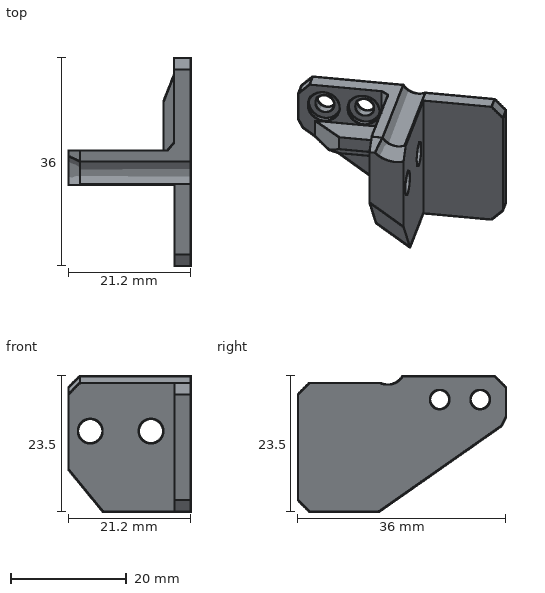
import cadquery as cq
import math

LENGTH = 21.2
HEIGHT = 23.45
WEB_THICKNESS = 6.0
CORNER_CHAMFER = 2.0

LEG_REACH = 14.0
LEG_THICKNESS = 2.85
LEG_HEIGHT = 22.3

PLATE_REACH = 22.0
PLATE_THICKNESS = 2.95
SLOPE = math.tan(math.radians(35))
TIP_CHAMFER = 1.0
GUSSET_X = 1.1
GUSSET_Y = 1.3

GROOVE_RADIUS = 3.0
GROOVE_Y = 1.5
GROOVE_Z = 25.0
LOWER_CHAMFER = 6.0
WEB_HOLE_DIAMETER = 4.2
WEB_HOLE_X = 3.8
WEB_HOLE_PITCH = 10.5
WEB_HOLE_Z = 13.95

PLATE_HOLE_DIAMETER = 3.3
COUNTERBORE_DIAMETER = 5.6
COUNTERBORE_DEPTH = 1.0
PLATE_HOLE_Y = 10.5
PLATE_HOLE_PITCH = 7.0
PLATE_HOLE_Z = 19.4

PAD_RAISE = 1.8
PAD_BOTTOM = 10.45
PAD_TOP = 16.4
PAD_BASE_END = 19.0
PAD_FACE_END = 14.45

PLATE_FACE_X = LENGTH - PLATE_THICKNESS
HOLES_PER_PAIR = 2
OVERCUT = 1.0


def along_x(points, x_start, x_end):
    """Prism of a closed (Y, Z) outline between two X positions."""
    return cq.Workplane("YZ", origin=(x_start, 0, 0)).polyline(points).close().extrude(x_end - x_start)


def front_leg():
    c = CORNER_CHAMFER
    outline = [
        (0, 0),
        (0, LEG_HEIGHT),
        (c - LEG_REACH, LEG_HEIGHT),
        (-LEG_REACH, LEG_HEIGHT - c),
        (-LEG_REACH, c),
        (c - LEG_REACH, 0),
    ]
    return along_x(outline, LENGTH - LEG_THICKNESS, LENGTH)


def rear_plate():
    c = CORNER_CHAMFER
    corner_z = PLATE_REACH * SLOPE
    tip_y = PLATE_REACH - TIP_CHAMFER * math.cos(math.atan(SLOPE))
    outline = [
        (WEB_THICKNESS, WEB_THICKNESS * SLOPE),
        (tip_y, tip_y * SLOPE),
        (PLATE_REACH, corner_z + TIP_CHAMFER),
        (PLATE_REACH, HEIGHT - c),
        (PLATE_REACH - c, HEIGHT),
        (WEB_THICKNESS, HEIGHT),
    ]
    return along_x(outline, PLATE_FACE_X, LENGTH)


def web():
    """Sloped-bottom block with a round groove along its top front edge and a chamfered free end."""
    groove_back_y = GROOVE_Y + math.sqrt(GROOVE_RADIUS**2 - (GROOVE_Z - HEIGHT) ** 2)
    groove_front_y = GROOVE_Y - math.sqrt(GROOVE_RADIUS**2 - (GROOVE_Z - LEG_HEIGHT) ** 2)
    block = (
        cq.Workplane("YZ")
        .moveTo(0, 0)
        .lineTo(WEB_THICKNESS, WEB_THICKNESS * SLOPE)
        .lineTo(WEB_THICKNESS, HEIGHT)
        .lineTo(groove_back_y, HEIGHT)
        .threePointArc((GROOVE_Y, GROOVE_Z - GROOVE_RADIUS), (groove_front_y, LEG_HEIGHT))
        .lineTo(0, LEG_HEIGHT)
        .close()
        .extrude(LENGTH)
    )
    return (
        block
        .cut(end_chamfer(HEIGHT, groove_back_y, WEB_THICKNESS))
        .cut(end_chamfer(LEG_HEIGHT, 0, groove_front_y))
        .cut(groove_chamfer())
        .cut(lower_corner())
    )


def end_chamfer(top_z, y_start, y_end):
    """45 degree wedge at the web's free end, below a flat top at top_z."""
    return (
        cq.Workplane("XZ", origin=(0, y_start, 0))
        .moveTo(0, top_z)
        .lineTo(CORNER_CHAMFER, top_z)
        .lineTo(0, top_z - CORNER_CHAMFER)
        .close()
        .extrude(y_start - y_end)
    )


def groove_chamfer():
    """Cone on the groove's axis that carries the 45 degree chamfer along the groove."""
    cone = cq.Solid.makeCone(
        GROOVE_RADIUS + CORNER_CHAMFER,
        GROOVE_RADIUS,
        CORNER_CHAMFER,
        pnt=cq.Vector(0, GROOVE_Y, GROOVE_Z),
        dir=cq.Vector(1, 0, 0),
    )
    return cq.Workplane(cone)


def lower_corner():
    """Wedge removed from the web's free end, parallel to the sloped underside."""
    rise = LOWER_CHAMFER / math.cos(math.atan(SLOPE))
    margin_x = OVERCUT * LOWER_CHAMFER / rise
    start_y = -OVERCUT
    end_y = WEB_THICKNESS + OVERCUT
    path = cq.Workplane("YZ").moveTo(start_y, start_y * SLOPE).lineTo(end_y, end_y * SLOPE)
    base_z = start_y * SLOPE
    section = [
        (-margin_x, base_z - OVERCUT),
        (LOWER_CHAMFER + margin_x, base_z - OVERCUT),
        (-margin_x, base_z + rise + OVERCUT),
    ]
    return cq.Workplane("XZ", origin=(0, start_y, 0)).polyline(section).close().sweep(path)


def corner_gusset():
    """Flat gusset filling the inside corner between the web and the rear plate."""
    return (
        cq.Workplane("XY")
        .moveTo(PLATE_FACE_X - GUSSET_X, WEB_THICKNESS)
        .lineTo(PLATE_FACE_X, WEB_THICKNESS)
        .lineTo(PLATE_FACE_X, WEB_THICKNESS + GUSSET_Y)
        .close()
        .extrude(HEIGHT)
    )


def raised_pad():
    """Pad with 45 degree top and bottom flanks and a long ramp at its rear end."""
    face_x = PLATE_FACE_X - PAD_RAISE
    flanks = (
        cq.Workplane("XZ", origin=(0, WEB_THICKNESS, 0))
        .moveTo(PLATE_FACE_X, PAD_BOTTOM)
        .lineTo(PLATE_FACE_X, PAD_TOP)
        .lineTo(face_x, PAD_TOP - PAD_RAISE)
        .lineTo(face_x, PAD_BOTTOM + PAD_RAISE)
        .close()
        .extrude(WEB_THICKNESS - PAD_BASE_END)
    )
    ramp = (
        cq.Workplane("XY")
        .moveTo(face_x, WEB_THICKNESS)
        .lineTo(PLATE_FACE_X, WEB_THICKNESS)
        .lineTo(PLATE_FACE_X, PAD_BASE_END)
        .lineTo(face_x, PAD_FACE_END)
        .close()
        .extrude(HEIGHT)
    )
    return flanks.intersect(ramp)


def below_slope():
    """Everything under the sloped underside, behind the web's front face."""
    end_y = PLATE_REACH + OVERCUT
    return along_x([(0, 0), (end_y, 0), (end_y, end_y * SLOPE)], 0, LENGTH)


def web_holes():
    centers = [(WEB_HOLE_X + i * WEB_HOLE_PITCH, WEB_HOLE_Z) for i in range(HOLES_PER_PAIR)]
    return (
        cq.Workplane("XZ")
        .pushPoints(centers)
        .circle(WEB_HOLE_DIAMETER / 2)
        .extrude(-WEB_THICKNESS)
    )


def plate_holes():
    """Through holes, counterbored from the plate face on the web's side."""
    centers = [(PLATE_HOLE_Y + i * PLATE_HOLE_PITCH, PLATE_HOLE_Z) for i in range(HOLES_PER_PAIR)]
    face = cq.Workplane("YZ", origin=(PLATE_FACE_X, 0, 0)).pushPoints(centers)
    through = face.circle(PLATE_HOLE_DIAMETER / 2).extrude(PLATE_THICKNESS)
    counterbore = face.circle(COUNTERBORE_DIAMETER / 2).extrude(COUNTERBORE_DEPTH)
    return through.union(counterbore)


rear_features = corner_gusset().union(raised_pad()).cut(below_slope())
result = (
    web()
    .union(front_leg())
    .union(rear_plate())
    .union(rear_features)
    .cut(web_holes())
    .cut(plate_holes())
)